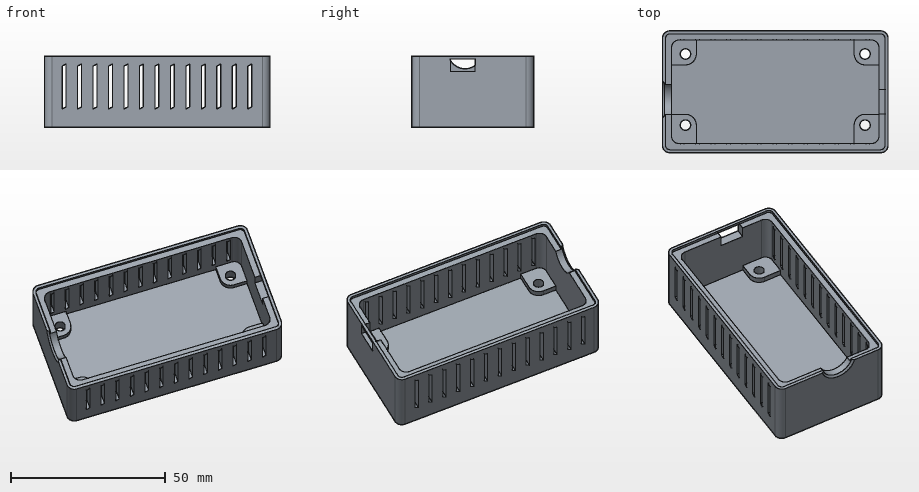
import cadquery as cq

length = 73.0
width = 39.5
height = 23.0
corner_radius = 2.5
wall = 3.0
floor = 2.5
cavity_corner_radius = 2.5

lip_width = 1.0
lip_depth = 0.95
recess_corner_radius = corner_radius - lip_width
ledge_z = height - lip_depth

hole_diameter = 3.3
hole_pitch_x = 58.0
hole_pitch_y = 23.0
hole_shift_y = 0.7
pad_radius = 3.5
pad_height = 2.0

slot_count = 13
slot_row_span = 60.0
slot_row_shift_x = -0.11
slot_width = 1.2
slot_length = 13.8
slot_rise = 0.65
slot_pitch = slot_row_span / (slot_count - 1)
slot_bottom_z = 6.0

notch_radius = 5.5
notch_y = -2.5
notch_axis_z = height + 1.45
notch_flare = 0.65

window_width = 8.0
window_height = 4.0
window_y = -3.2


def rounded_block(size_x, size_y, bottom_z, top_z, radius):
    """Upright block centred on X and Y with rounded vertical edges."""
    block = cq.Workplane("XY").workplane(offset=bottom_z).rect(size_x, size_y).extrude(top_z - bottom_z)
    return block.edges("|Z").fillet(radius)


def corner_pad(side_x, side_y):
    """Floor pad filling one corner, rounded about its screw hole."""
    hole_x = side_x * hole_pitch_x / 2
    hole_y = side_y * hole_pitch_y / 2 + hole_shift_y
    inner_x = hole_x - side_x * pad_radius
    inner_y = hole_y - side_y * pad_radius
    outer_x = side_x * length / 2
    outer_y = side_y * width / 2
    block = (
        cq.Workplane("XY")
        .workplane(offset=floor)
        .moveTo((inner_x + outer_x) / 2, (inner_y + outer_y) / 2)
        .rect(abs(outer_x - inner_x), abs(outer_y - inner_y))
        .extrude(pad_height)
    )
    inner_edge = cq.NearestToPointSelector((inner_x, inner_y, floor + pad_height / 2))
    return block.edges(inner_edge).fillet(pad_radius)


def vent_slots():
    """Parallelogram cutters running through the box along Y."""
    half_slot = slot_width / 2
    cutters = cq.Workplane("XZ")
    for index in range(slot_count):
        centre_x = slot_row_shift_x - slot_row_span / 2 + index * slot_pitch
        left_x = centre_x - half_slot
        right_x = centre_x + half_slot
        cutters = cutters.polyline([
            (left_x, slot_bottom_z),
            (right_x, slot_bottom_z + slot_rise),
            (right_x, slot_bottom_z + slot_rise + slot_length),
            (left_x, slot_bottom_z + slot_length),
        ]).close()
    return cutters.extrude(width, both=True)


def cable_notch():
    """Horizontal cylinder through the -X wall with a cone at the outer face."""
    axis_start = cq.Vector(-length / 2, notch_y, notch_axis_z)
    axis_direction = cq.Vector(1, 0, 0)
    bore = cq.Solid.makeCylinder(notch_radius, wall, axis_start, axis_direction)
    flare = cq.Solid.makeCone(
        notch_radius + notch_flare, notch_radius, notch_flare, axis_start, axis_direction
    )
    return cq.Workplane(bore).union(cq.Workplane(flare))


body = rounded_block(length, width, 0, height, corner_radius)
cavity = rounded_block(length - 2 * wall, width - 2 * wall, floor, height, cavity_corner_radius)
recess = rounded_block(length - 2 * lip_width, width - 2 * lip_width, ledge_z, height, recess_corner_radius)

window = (
    cq.Workplane("XY", origin=(length / 2 - wall, window_y, ledge_z - window_height))
    .box(wall, window_width, window_height, centered=(False, True, False))
)
screw_holes = (
    cq.Workplane("XY")
    .center(0, hole_shift_y)
    .rect(hole_pitch_x, hole_pitch_y, forConstruction=True)
    .vertices()
    .circle(hole_diameter / 2)
    .extrude(floor + pad_height)
)

result = body.cut(cavity).cut(recess)
for side_x in (-1, 1):
    for side_y in (-1, 1):
        result = result.union(corner_pad(side_x, side_y).intersect(cavity))
result = result.cut(screw_holes).cut(vent_slots()).cut(cable_notch()).cut(window)